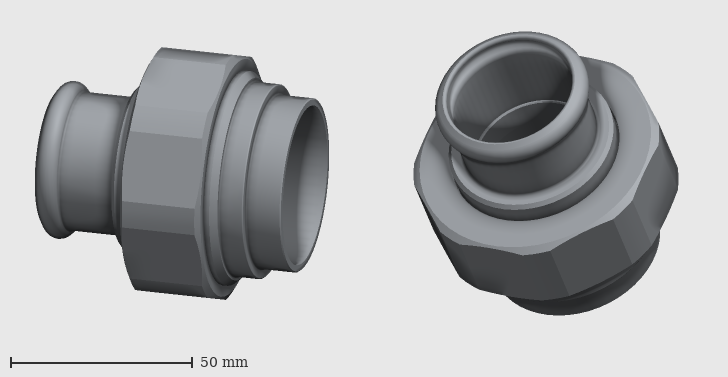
import cadquery as cq
import math


total_length = 72.0
collar_front = 23.0
nut_front = 28.5
nut_width = 23.1
nut_back = nut_front + nut_width
nut_lip_thickness = 4.5
bore_step = nut_front
flange_thickness = 3.0
flange_front = nut_front + nut_lip_thickness
seat = flange_front + flange_thickness
cone_start = 53.15
shoulder_front = 55.05
shoulder_back = 62.0

tube_diameter = 38.4
tube_bore = 35.4
wall = (tube_diameter - tube_bore) / 2
lip_bore = 35.8
lip_round = 0.9
tail_bore = 34.0
bore_step_chamfer = 0.3
collar_diameter = 47.0
collar_chamfer = 1.0
collar_fillet = 0.8
flange_diameter = 54.5

bead_diameter = 43.7
bead_center_x = 3.65
bead_radius = 3.2
bead_center_r = bead_diameter / 2 - bead_radius
bead_root_x = 7.35
bead_root_fillet = 0.7
groove_root_fillet = 1.9
mouth_angle = math.radians(32.5)

nut_corner_diameter = 70.0
nut_across_flats = 67.26
nut_sides = 8
nut_face_diameter = 65.9
nut_chamfer_angle = math.radians(30)
nut_lip_bore = 47.5
nut_lip_chamfer = 0.25

thread_diameter = 59.5
shoulder_diameter = 54.0
cone_drop = 1.65
shoulder_fillet = 0.5
shoulder_round = 0.35
pipe_diameter = 48.3
pipe_bore = 44.3
pipe_fillet = 0.5
pipe_chamfer = 0.3


def revolve_about_x(profile):
    return profile.close().revolve(360, (0, 0, 0), (1, 0, 0))


def polar_point(center, radius, angle):
    return (center[0] + radius * math.cos(angle), center[1] + radius * math.sin(angle))


def flank_angle(center, radius, root_center, root_radius):
    """Angle of the normal of the straight line that crosses between two circles, tangent to both."""
    run = root_center[0] - center[0]
    rise = root_center[1] - center[1]
    return math.atan2(rise, run) + math.acos((radius + root_radius) / math.hypot(run, rise))


def make_press_tail():
    tube_radius = tube_diameter / 2
    bore_radius = tube_bore / 2
    tail_radius = tail_bore / 2
    bead_center = (bead_center_x, bead_center_r)
    mouth_normal = math.pi - mouth_angle

    root_center = (bead_root_x, tube_radius + bead_root_fillet)
    bead_flank = flank_angle(bead_center, bead_radius, root_center, bead_root_fillet)
    groove_radius = bead_radius - wall
    groove_root_center = (bead_root_x, bore_radius + groove_root_fillet)
    groove_flank = flank_angle(bead_center, groove_radius, groove_root_center, groove_root_fillet)

    def mouth_cone_r(x, radius):
        run = (bead_center_x - x) * math.cos(mouth_angle)
        return bead_center_r + (radius - run) / math.sin(mouth_angle)

    lip_radius = lip_bore / 2
    lip_rise = (lip_radius - bead_center_r) * math.sin(mouth_angle)
    lip_end = bead_center_x - (groove_radius - lip_rise) / math.cos(mouth_angle)
    rim_radius = mouth_cone_r(0, bead_radius)
    lip_round_center = (lip_round, lip_radius + lip_round)

    profile = (
        cq.Workplane("XY")
        .moveTo(0, rim_radius)
        .lineTo(*polar_point(bead_center, bead_radius, mouth_normal))
        .threePointArc(
            polar_point(bead_center, bead_radius, math.pi / 2),
            polar_point(bead_center, bead_radius, bead_flank),
        )
        .lineTo(*polar_point(root_center, bead_root_fillet, bead_flank + math.pi))
        .threePointArc(
            polar_point(root_center, bead_root_fillet, bead_flank / 2 + 1.25 * math.pi),
            (bead_root_x, tube_radius),
        )
        .lineTo(collar_front - collar_fillet, tube_radius)
        .radiusArc((collar_front, tube_radius + collar_fillet), -collar_fillet)
        .lineTo(collar_front, collar_diameter / 2 - collar_chamfer)
        .lineTo(collar_front + collar_chamfer, collar_diameter / 2)
        .lineTo(flange_front, collar_diameter / 2)
        .lineTo(flange_front, flange_diameter / 2)
        .lineTo(seat, flange_diameter / 2)
        .lineTo(seat, tail_radius)
        .lineTo(bore_step + bore_step_chamfer, tail_radius)
        .lineTo(bore_step, tail_radius + bore_step_chamfer)
        .lineTo(bore_step, bore_radius)
        .lineTo(bead_root_x, bore_radius)
        .threePointArc(
            polar_point(groove_root_center, groove_root_fillet, groove_flank / 2 + 1.25 * math.pi),
            polar_point(groove_root_center, groove_root_fillet, groove_flank + math.pi),
        )
        .lineTo(*polar_point(bead_center, groove_radius, groove_flank))
        .threePointArc(
            polar_point(bead_center, groove_radius, math.pi / 2),
            polar_point(bead_center, groove_radius, mouth_normal),
        )
        .lineTo(lip_end, lip_radius)
        .lineTo(lip_round, lip_radius)
        .threePointArc(
            polar_point(lip_round_center, lip_round, 1.25 * math.pi),
            (0, lip_radius + lip_round),
        )
    )
    return revolve_about_x(profile)


def make_union_nut():
    corner_radius = nut_corner_diameter / 2
    face_radius = nut_face_diameter / 2
    chamfer_length = (corner_radius - face_radius) * math.tan(nut_chamfer_angle)

    blank = revolve_about_x(
        cq.Workplane("XY")
        .moveTo(nut_front + nut_lip_chamfer, nut_lip_bore / 2)
        .lineTo(nut_front, nut_lip_bore / 2 + nut_lip_chamfer)
        .lineTo(nut_front, face_radius)
        .lineTo(nut_front + chamfer_length, corner_radius)
        .lineTo(nut_back - chamfer_length, corner_radius)
        .lineTo(nut_back, face_radius)
        .lineTo(nut_back, thread_diameter / 2)
        .lineTo(flange_front, thread_diameter / 2)
        .lineTo(flange_front, nut_lip_bore / 2)
    )

    octagon_diameter = nut_across_flats / math.cos(math.pi / nut_sides)
    bar = (
        cq.Workplane("YZ")
        .workplane(offset=nut_front)
        .polygon(nut_sides, octagon_diameter)
        .extrude(nut_width)
    )
    return blank.intersect(bar).solids()


def make_male_tail():
    thread_radius = thread_diameter / 2
    shoulder_radius = shoulder_diameter / 2
    pipe_radius = pipe_diameter / 2
    profile = (
        cq.Workplane("XY")
        .moveTo(seat, pipe_bore / 2)
        .lineTo(seat, thread_radius)
        .lineTo(cone_start, thread_radius)
        .lineTo(shoulder_front, thread_radius - cone_drop)
        .lineTo(shoulder_front, shoulder_radius + shoulder_fillet)
        .radiusArc((shoulder_front + shoulder_fillet, shoulder_radius), -shoulder_fillet)
        .lineTo(shoulder_back - shoulder_round, shoulder_radius)
        .radiusArc((shoulder_back, shoulder_radius - shoulder_round), shoulder_round)
        .lineTo(shoulder_back, pipe_radius + pipe_fillet)
        .radiusArc((shoulder_back + pipe_fillet, pipe_radius), -pipe_fillet)
        .lineTo(total_length - pipe_chamfer, pipe_radius)
        .lineTo(total_length, pipe_radius - pipe_chamfer)
        .lineTo(total_length, pipe_bore / 2)
    )
    return revolve_about_x(profile)


press_tail = make_press_tail()
union_nut = make_union_nut()
male_tail = make_male_tail()

result = cq.Compound.makeCompound([press_tail.val(), union_nut.val(), male_tail.val()])